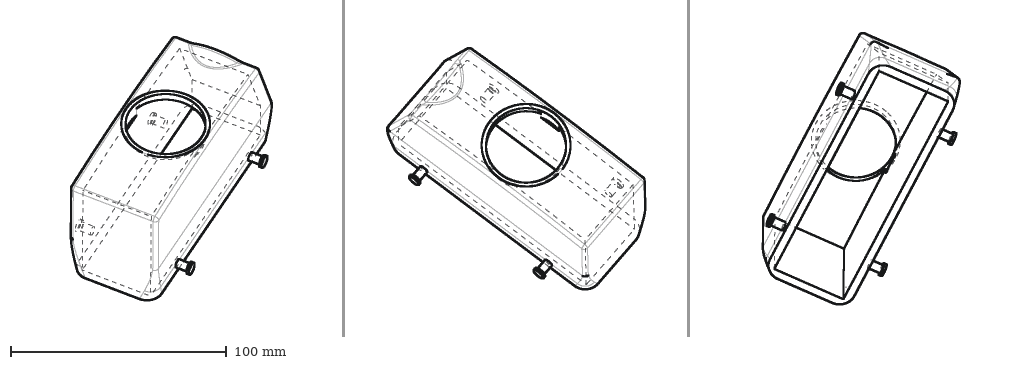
import cadquery as cq
import math

length = 120.0
half_length = length / 2
half_width = 22.7

shoulder_z = 23.4
foot_z = 7.0
side_curve_radius = 249.6
front_draft = math.radians(0.8)

slope_angle = math.radians(20)
slope_start_z = 20.5
slope_blend_radius = 13.2

crown_y = -5.9
crown_z = 61.1
crown_radius = 588.0
settling_rounds = 10

edge_radius = 1.9
corner_flare = 5.8
corner_flare_power = 1.3
flare_steps = 5

bore_diameter = 37.1
bore_depth = 8.4
spotface_diameter = 41.2

wall = 4.0
cavity_half_width = 17.8
roof_thickness = 4.1
slope_wall = wall / math.cos(slope_angle)

grip_top_z = 62.5
grip_arc_radius = 24.0
grip_depth = 6.0
grip_length = 24.0
trim_allowance = 1.2

pin_y = 37.1
pin_z = 6.1
pin_tip_x = 29.5
pin_diameter = 4.2
pin_head_diameter = 6.0
pin_head_thickness = 1.3
pin_root_x = cavity_half_width + wall / 2


def crown_height(y):
    """Height of the crowned roof at y."""
    return crown_z - crown_radius + math.sqrt(crown_radius**2 - (y - crown_y) ** 2)


def front_y(z):
    """Slightly drafted front face."""
    return -half_length + z * math.tan(front_draft)


def slope_y(z):
    """Sloping rear face, extended without its lower blend."""
    return half_length - (z - slope_start_z) * math.tan(slope_angle)


blend_reach = slope_blend_radius * math.tan(slope_angle / 2)
blend_low_z = slope_start_z - blend_reach
blend_high_z = slope_start_z + blend_reach * math.cos(slope_angle)


def rear_y(z):
    """Rear face: vertical, then a tangent arc, then the slope."""
    if z <= blend_low_z:
        return half_length
    if z >= blend_high_z:
        return slope_y(z)
    rise = z - blend_low_z
    return half_length - slope_blend_radius + math.sqrt(slope_blend_radius**2 - rise**2)


def side_x(z):
    """Half width: an arc tangent to the vertical wall, then its tangent line down to the rim."""
    drop = shoulder_z - max(z, foot_z)
    arc_height = math.sqrt(side_curve_radius**2 - drop**2)
    inset = side_curve_radius - arc_height
    return half_width - inset - max(foot_z - z, 0) * drop / arc_height


def corner_size(z):
    """Vertical corner radius, widening towards the rim."""
    return edge_radius + corner_flare * (1 - z / shoulder_z) ** corner_flare_power


def base_section(z):
    """Rounded rectangle of the hood at height z, below the shoulder."""
    depth = rear_y(z) - front_y(z)
    middle_y = (rear_y(z) + front_y(z)) / 2
    rectangle = cq.Workplane(origin=(0, middle_y, z)).rect(2 * side_x(z), depth).wire().val()
    return rectangle.fillet2D(corner_size(z), rectangle.Vertices())


def make_base():
    foot = cq.Solid.makeLoft([base_section(0), base_section(foot_z)], True)
    step = (shoulder_z - foot_z) / flare_steps
    flare = cq.Solid.makeLoft([base_section(foot_z + i * step) for i in range(flare_steps + 1)])
    return cq.Workplane(foot).union(cq.Workplane(flare))


def side_profile(lower_points, front_inset, rear_inset, drop, half_span):
    """Prism across X: lower points run from rear to front, and a lowered crown closes the outline."""
    front_top_y = -half_length
    rear_top_y = half_length
    for _ in range(settling_rounds):
        front_top_y = front_y(crown_height(front_top_y) - drop) + front_inset
        rear_top_y = slope_y(crown_height(rear_top_y) - drop) - rear_inset
    return (
        cq.Workplane("YZ", origin=(-half_span, 0, 0))
        .polyline(lower_points)
        .lineTo(front_top_y, crown_height(front_top_y) - drop)
        .threePointArc((crown_y, crown_z - drop), (rear_top_y, crown_height(rear_top_y) - drop))
        .close()
        .extrude(2 * half_span)
    )


def make_upper():
    """Block above the shoulder with the grip on its roof, both trimmed by one sloping plane."""
    rear_shoulder = (slope_y(shoulder_z) + trim_allowance, shoulder_z)
    front_shoulder = (front_y(shoulder_z), shoulder_z)
    block = side_profile([rear_shoulder, front_shoulder], 0, -trim_allowance, 0, half_width)

    crest_z = grip_top_z + edge_radius * (math.sin(slope_angle) + math.cos(slope_angle) - 1)
    slope_plane = cq.Workplane(
        cq.Plane(
            origin=(0, slope_y(crest_z), crest_z),
            xDir=(1, 0, 0),
            normal=(0, -math.cos(slope_angle), -math.sin(slope_angle)),
        )
    )
    chord = math.sqrt(grip_arc_radius**2 - (grip_arc_radius - grip_depth) ** 2)
    grip = (
        slope_plane.workplane(offset=-trim_allowance)
        .moveTo(-chord, -grip_depth)
        .threePointArc((0, 0), (chord, -grip_depth))
        .close()
        .extrude(grip_length)
    )
    behind_slope = slope_plane.rect(length, length).extrude(-length)
    return block.union(grip).cut(behind_slope)


def round_edges(body):
    """Round every edge that rises above the shoulder."""
    edges = [edge for edge in body.edges().vals() if edge.BoundingBox().zmax > shoulder_z + edge_radius]
    return body.newObject(edges).fillet(edge_radius)


def make_cavity():
    """Open-bottomed pocket that follows the outer walls."""
    lower_points = [
        (half_length - slope_wall, slope_start_z),
        (half_length - slope_wall, 0),
        (front_y(0) + wall, 0),
    ]
    return side_profile(lower_points, wall, slope_wall, roof_thickness, cavity_half_width)


def cut_cable_entry(body):
    """Flat sealing ring around a bore that reaches past the underside of the roof."""
    seat_z = crown_height(crown_y + spotface_diameter / 2)
    seat = cq.Workplane(origin=(0, crown_y, seat_z))
    spotface = seat.circle(spotface_diameter / 2).extrude(crown_z)
    bore = seat.circle(bore_diameter / 2).extrude(-bore_depth)
    return body.cut(spotface).cut(bore)


def make_pin(side, y):
    """Headed pin anchored inside the wall on the given side (+1 or -1)."""
    shank_length = pin_tip_x - pin_root_x
    root = cq.Workplane("YZ", origin=(side * pin_root_x, y, pin_z))
    tip = cq.Workplane("YZ", origin=(side * pin_tip_x, y, pin_z))
    shank = root.circle(pin_diameter / 2).extrude(side * shank_length)
    head = tip.circle(pin_head_diameter / 2).extrude(-side * pin_head_thickness)
    return shank.union(head)


upper = round_edges(make_upper())
hood = make_base().union(upper).clean().cut(make_cavity())
result = cut_cable_entry(hood)
for side in (-1, 1):
    for y in (-pin_y, pin_y):
        result = result.union(make_pin(side, y))